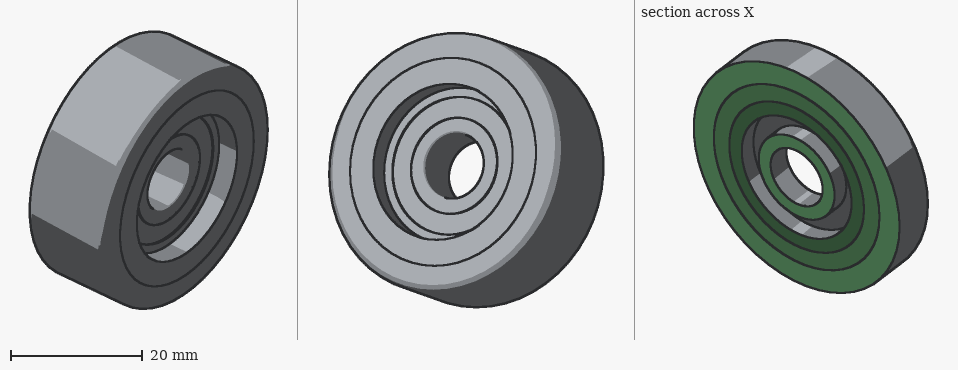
import cadquery as cq

wheel_width = 15.0
tire_radius = 20.0
tire_fillet = 1.0
hub_radius = 16.0

bearing_width = 8.0
bearing_radius = 13.0
lip_radius = 12.0
shield_outer_radius = 10.6
shield_inner_radius = 7.4
shield_thickness = 1.0
shield_recess = 0.2
bore_radius = 5.0
bore_fillet = 0.3


def ring(outer_radius, inner_radius, width, center_x=0.0):
    """Plain ring around the X axis, centred at center_x."""
    return (
        cq.Workplane("YZ", origin=(center_x - width / 2, 0, 0))
        .circle(outer_radius)
        .circle(inner_radius)
        .extrude(width)
    )


def make_tire():
    """Tread ring with rounded outer edges."""
    blank = ring(tire_radius, hub_radius, wheel_width)
    outer_edges = cq.selectors.RadiusNthSelector(-1)
    return blank.edges("%CIRCLE").edges(outer_edges).fillet(tire_fillet)


def make_hub():
    """Hub with a bearing seat between two narrower openings."""
    bearing_seat = ring(bearing_radius, lip_radius, bearing_width)
    return ring(hub_radius, lip_radius, wheel_width).cut(bearing_seat)


def make_outer_race():
    return ring(bearing_radius, shield_outer_radius, bearing_width)


def make_inner_race():
    """Inner race with rounded bore mouths."""
    blank = ring(shield_inner_radius, bore_radius, bearing_width)
    bore_edges = cq.selectors.RadiusNthSelector(0)
    return blank.edges("%CIRCLE").edges(bore_edges).fillet(bore_fillet)


def make_shield(side):
    """Shield closing the gap between the races, set slightly below the bearing face."""
    center_x = side * ((bearing_width - shield_thickness) / 2 - shield_recess)
    return ring(shield_outer_radius, shield_inner_radius, shield_thickness, center_x)


tire = make_tire()
hub = make_hub()
outer_race = make_outer_race()
inner_race = make_inner_race()
shields = [make_shield(side) for side in (-1, 1)]

result = cq.Compound.makeCompound([
    tire.val(),
    hub.val(),
    outer_race.val(),
    inner_race.val(),
    *[shield.val() for shield in shields],
])